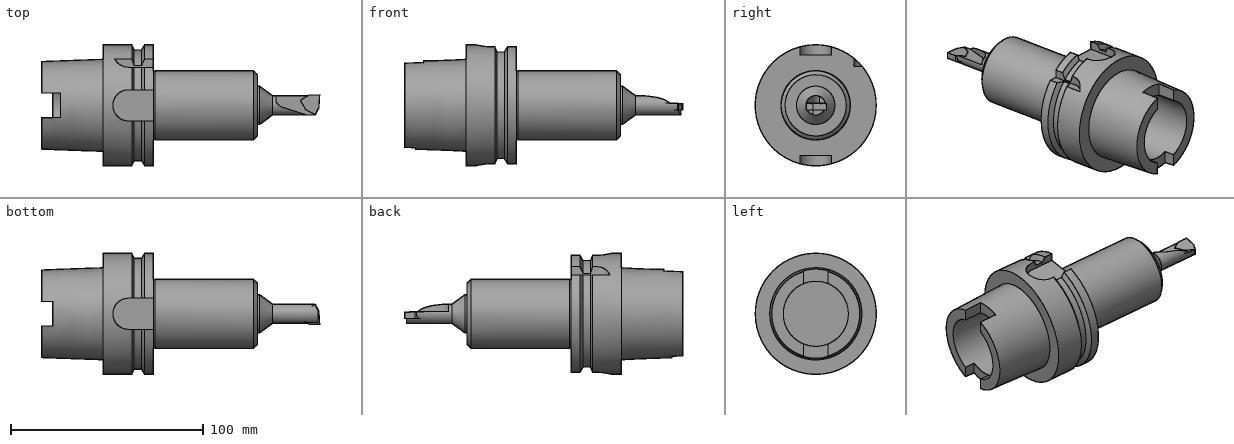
import cadquery as cq

OVERALL_LENGTH = 144.6

TAPER_END_RADIUS = 22.8
TAPER_BASE_RADIUS = 24.0
BORE_RADIUS = 16.9
FLANGE_START = 32.0
FLANGE_RADIUS = 31.5
FLANGE_END = 58.1
NECK_RADIUS = 18.1
NECK_STEP_END = 59.0
NECK_STEP_RADIUS = 17.8
NECK_END = 112.2
NECK_CHAMFER = 2.2

GROOVE_START = 46.9
GROOVE_FLOOR_START = 48.0
GROOVE_FLOOR_END = 51.9
GROOVE_END = 53.5
GROOVE_RADIUS = 28.9

DRIVE_SLOT_WIDTH = 12.7
UPPER_SLOT_DEPTH = 9.8
LOWER_SLOT_DEPTH = 5.6

POCKET_START = 37.0
POCKET_WIDTH = 16.2
POCKET_FLOOR = 26.0
NOTCH_WALL = 19.8
NOTCH_FLOOR = 20.2

COLLAR_RADIUS = 10.0
COLLAR_END = 113.4
CONE_END = 120.0
BAR_RADIUS = 5.0
BAR_END = 143.7
BAR_CORNER = 141.9
BAR_CORNER_Y = -5.0
BAR_END_FACE_Y = -1.3

RELIEF_START = 121.8
RELIEF_FLOOR = 1.08
RELIEF_ARC_START_Y = 2.0
RELIEF_ARC_MIDDLE = (123.0, 0.3)
RELIEF_ARC_END = (125.2, -1.0)
RELIEF_TAIL = (138.1, -5.0)

INSERT_TOP = 0.9
INSERT_BOTTOM = -2.5
INSERT_OUTLINE = [
    (134.5, 2.6),
    (137.2, -2.2),
    (142.3, -4.9),
    (144.2, -1.3),
    (OVERALL_LENGTH, 5.5),
    (139.1, 5.5),
]


def prism(outline, bottom, top):
    """Upright prism over a closed outline in X and Y."""
    return cq.Workplane("XY").workplane(offset=bottom).polyline(outline).close().extrude(top - bottom)


def turned(profile):
    """Body of revolution about X from a closed outline of (x, radius) points."""
    return cq.Workplane("XY").polyline(profile).close().revolve(360, (0, 0, 0), (1, 0, 0))


def drive_slot(depth):
    """Cutter for a slot through the upper wall of the taper."""
    return cq.Workplane("XY").box(
        depth, DRIVE_SLOT_WIDTH, FLANGE_RADIUS, centered=(False, True, False)
    )


def flange_pocket(center_y, floor):
    """Cutter for a round-ended pocket that runs out through the flange end face."""
    radius = POCKET_WIDTH / 2
    straight_start = POCKET_START + radius
    return (
        cq.Workplane("XY")
        .workplane(offset=floor)
        .moveTo(FLANGE_END, center_y - radius)
        .lineTo(straight_start, center_y - radius)
        .threePointArc((POCKET_START, center_y), (straight_start, center_y + radius))
        .lineTo(FLANGE_END, center_y + radius)
        .close()
        .extrude(FLANGE_RADIUS - floor)
    )


def make_holder():
    body = turned([
        (0, BORE_RADIUS),
        (0, TAPER_END_RADIUS),
        (FLANGE_START, TAPER_BASE_RADIUS),
        (FLANGE_START, FLANGE_RADIUS),
        (GROOVE_START, FLANGE_RADIUS),
        (GROOVE_FLOOR_START, GROOVE_RADIUS),
        (GROOVE_FLOOR_END, GROOVE_RADIUS),
        (GROOVE_END, FLANGE_RADIUS),
        (FLANGE_END, FLANGE_RADIUS),
        (FLANGE_END, NECK_STEP_RADIUS),
        (NECK_STEP_END, NECK_STEP_RADIUS),
        (NECK_STEP_END, NECK_RADIUS),
        (NECK_END - NECK_CHAMFER, NECK_RADIUS),
        (NECK_END, NECK_RADIUS - NECK_CHAMFER),
        (NECK_END, 0),
        (FLANGE_START, 0),
        (FLANGE_START, BORE_RADIUS),
    ])
    body = body.cut(drive_slot(UPPER_SLOT_DEPTH))
    body = body.cut(drive_slot(LOWER_SLOT_DEPTH).mirror("XY"))
    key_pocket = flange_pocket(0, POCKET_FLOOR)
    body = body.cut(key_pocket).cut(key_pocket.mirror("XY"))
    return body.cut(flange_pocket(NOTCH_WALL + POCKET_WIDTH / 2, NOTCH_FLOOR))


def chip_relief():
    """Cutter that clears the top of the bar down to a flat floor."""
    return (
        cq.Workplane("XY")
        .workplane(offset=RELIEF_FLOOR)
        .moveTo(RELIEF_START, BAR_RADIUS)
        .lineTo(RELIEF_START, RELIEF_ARC_START_Y)
        .threePointArc(RELIEF_ARC_MIDDLE, RELIEF_ARC_END)
        .lineTo(*RELIEF_TAIL)
        .lineTo(OVERALL_LENGTH, -BAR_RADIUS)
        .lineTo(OVERALL_LENGTH, BAR_RADIUS)
        .close()
        .extrude(BAR_RADIUS)
    )


def make_bar():
    body = turned([
        (NECK_END, 0),
        (NECK_END, COLLAR_RADIUS),
        (COLLAR_END, COLLAR_RADIUS),
        (CONE_END, BAR_RADIUS),
        (BAR_END, BAR_RADIUS),
        (BAR_END, 0),
    ])
    slanted_end = prism(
        [(BAR_CORNER, BAR_CORNER_Y), (BAR_END, BAR_CORNER_Y), (BAR_END, BAR_END_FACE_Y)],
        -BAR_RADIUS,
        BAR_RADIUS,
    )
    insert_seat = prism(INSERT_OUTLINE, INSERT_BOTTOM, BAR_RADIUS)
    return body.cut(slanted_end).cut(chip_relief()).cut(insert_seat)


def make_insert():
    return prism(INSERT_OUTLINE, INSERT_BOTTOM, INSERT_TOP)


holder = make_holder()
boring_bar = make_bar()
cutting_insert = make_insert()

result = cq.Compound.makeCompound([
    holder.solids().val(),
    boring_bar.solids().val(),
    cutting_insert.solids().val(),
])